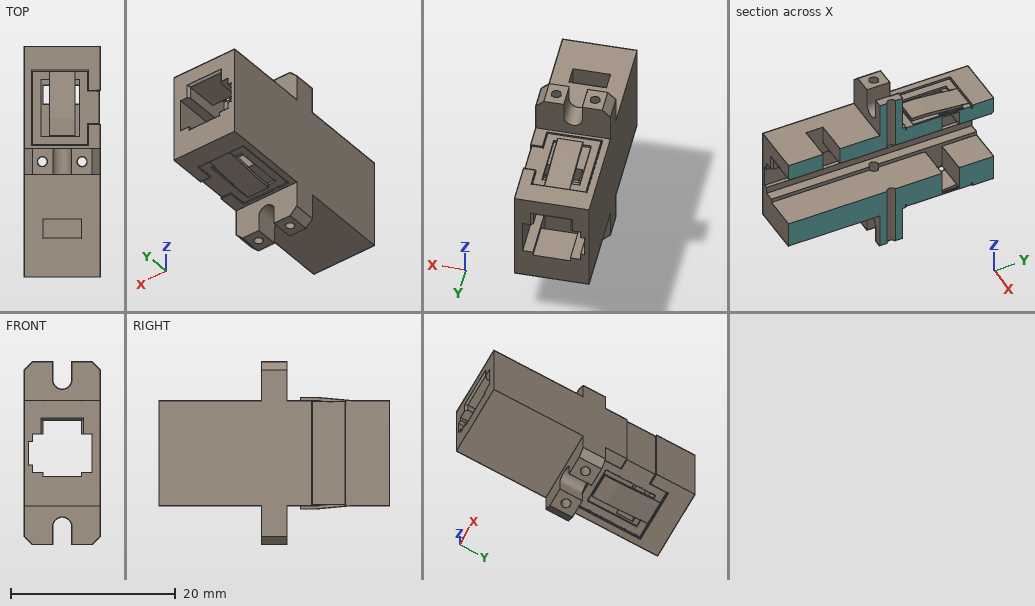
import cadquery as cq

BODY_WIDTH = 9.28
BODY_LENGTH = 28.05
BODY_HEIGHT = 12.8
SIDE = BODY_WIDTH / 2
TOP = BODY_HEIGHT / 2

FLANGE_HEIGHT = 22.24
FLANGE_THICKNESS = 3.15
FLANGE_CHAMFER = 1.0
SLOT_WIDTH = 2.3
SLOT_DEPTH = 3.35
PIN_HOLE_DIAMETER = 1.18
PIN_HOLE_X = 2.4

PASSAGE_WIDTH = 7.2
PASSAGE_HEIGHT = 4.65
GROOVE_HEIGHT = 2.83
GROOVE_REACH = 4.1
KEYWAY_WIDTH = 4.65
KEYWAY_TOP = 3.98
KEYWAY_BOTTOM = -2.83
LEAD_IN = 0.28

WINDOW_LENGTH = 2.3
WINDOW_Y = 8.13

CLIP_THICKNESS = 0.3
CLIP_INSET = 0.15
CLIP_LEFT = -3.6
CLIP_RIGHT = 3.08
CLIP_FRONT = 2.07
CLIP_BACK = 10.95
CLIP_TOP = TOP - CLIP_INSET
BRIDGE_FRONT = 4.63
BRIDGE_BACK = 8.58
GAP = 0.08
WIDE_GAP = 0.17
CLIP_WINDOW_LEFT = -2.58
CLIP_WINDOW_RIGHT = 2.07
CLIP_WINDOW_FRONT = 3.08
CLIP_WINDOW_BACK = 9.95

LATCH_WIDTH = 3.15
LATCH_TIP = 3.17
LATCH_CREASE = 5.22
LATCH_RISE = 0.53
LATCH_THICKNESS = 0.42


def box(x, y, z):
    """Box between the (low, high) pairs given for each axis."""
    return (
        cq.Workplane("XY")
        .box(x[1] - x[0], y[1] - y[0], z[1] - z[0], centered=False)
        .translate((x[0], y[0], z[0]))
    )


def with_mirror_below(shape):
    """Shape together with its mirror image below the mid-plane."""
    return shape.union(shape.mirror("XY"))


def body_and_flange():
    body = cq.Workplane("XY").box(BODY_WIDTH, BODY_LENGTH, BODY_HEIGHT)
    flange = (
        cq.Workplane("XY")
        .box(BODY_WIDTH, FLANGE_THICKNESS, FLANGE_HEIGHT)
        .edges("|Y")
        .chamfer(FLANGE_CHAMFER)
    )
    radius = SLOT_WIDTH / 2
    end = FLANGE_HEIGHT / 2
    round_z = end - SLOT_DEPTH + radius
    slot = (
        cq.Workplane("XZ", origin=(0, FLANGE_THICKNESS / 2, 0))
        .moveTo(-radius, end)
        .lineTo(-radius, round_z)
        .threePointArc((0, round_z - radius), (radius, round_z))
        .lineTo(radius, end)
        .close()
        .extrude(FLANGE_THICKNESS)
    )
    return body.union(flange.cut(with_mirror_below(slot)))


def pin_holes():
    return (
        cq.Workplane("XY")
        .pushPoints([(-PIN_HOLE_X, 0), (PIN_HOLE_X, 0)])
        .circle(PIN_HOLE_DIAMETER / 2)
        .extrude(FLANGE_HEIGHT, both=True)
    )


def keyway_lead_in(end):
    """Flared mouth of the keyway at the body end on side `end` (-1 or 1) of Y."""
    bottom = PASSAGE_HEIGHT / 2
    height = KEYWAY_TOP - bottom
    mouth = (
        cq.Workplane("XZ", origin=(0, end * BODY_LENGTH / 2, bottom))
        .center(0, (height + LEAD_IN) / 2)
        .rect(KEYWAY_WIDTH + 2 * LEAD_IN, height + LEAD_IN)
    )
    return (
        mouth.workplane(offset=end * LEAD_IN)
        .center(0, -LEAD_IN / 2)
        .rect(KEYWAY_WIDTH, height)
        .loft(ruled=True)
    )


def plug_passage():
    length = (-BODY_LENGTH / 2, BODY_LENGTH / 2)
    half_key = KEYWAY_WIDTH / 2
    passage = cq.Workplane("XY").box(PASSAGE_WIDTH, BODY_LENGTH, PASSAGE_HEIGHT)
    groove = box((-GROOVE_REACH, 0), length, (-GROOVE_HEIGHT / 2, GROOVE_HEIGHT / 2))
    keyway = box((-half_key, half_key), length, (KEYWAY_BOTTOM, KEYWAY_TOP))
    passage = passage.union(groove).union(keyway)
    for end in (-1, 1):
        passage = passage.union(keyway_lead_in(end))
    return passage


def window(y):
    half_key = KEYWAY_WIDTH / 2
    half_length = WINDOW_LENGTH / 2
    return box((-half_key, half_key), (y - half_length, y + half_length), (0, TOP))


def clip_recess():
    depth = CLIP_INSET + CLIP_THICKNESS
    pocket = box(
        (CLIP_LEFT - WIDE_GAP, CLIP_RIGHT + GAP),
        (CLIP_FRONT - GAP, CLIP_BACK + WIDE_GAP),
        (TOP - depth, TOP),
    )
    bridge = (BRIDGE_FRONT - GAP, BRIDGE_BACK + GAP)
    bridge_top = box((CLIP_RIGHT, SIDE), bridge, (TOP - depth, TOP))
    bridge_side = box((SIDE - depth, SIDE), bridge, (-TOP, TOP))
    return with_mirror_below(pocket.union(bridge_top)).union(bridge_side)


def latch():
    low = CLIP_TOP
    high = CLIP_TOP + LATCH_RISE
    return (
        cq.Workplane("YZ")
        .moveTo(CLIP_BACK, low)
        .lineTo(LATCH_CREASE, high)
        .lineTo(LATCH_TIP, high)
        .lineTo(LATCH_TIP, high - LATCH_THICKNESS)
        .lineTo(LATCH_CREASE, high - LATCH_THICKNESS)
        .lineTo(CLIP_BACK, low - LATCH_THICKNESS)
        .close()
        .extrude(LATCH_WIDTH / 2, both=True)
    )


def clip():
    layer = (CLIP_TOP - CLIP_THICKNESS, CLIP_TOP)
    outer_x = SIDE - CLIP_INSET
    bridge = (BRIDGE_FRONT, BRIDGE_BACK)
    plate = box((CLIP_LEFT, CLIP_RIGHT), (CLIP_FRONT, CLIP_BACK), layer)
    plate = plate.cut(
        box((CLIP_WINDOW_LEFT, CLIP_WINDOW_RIGHT), (CLIP_WINDOW_FRONT, CLIP_WINDOW_BACK), layer)
    )
    arm = plate.union(box((CLIP_RIGHT, outer_x), bridge, layer)).union(latch())
    web = box((outer_x - CLIP_THICKNESS, outer_x), bridge, (-CLIP_TOP, CLIP_TOP))
    return with_mirror_below(arm).union(web)


result = (
    body_and_flange()
    .cut(plug_passage())
    .cut(pin_holes())
    .cut(window(-WINDOW_Y))
    .cut(with_mirror_below(window(WINDOW_Y)))
    .cut(clip_recess())
    .union(clip())
)